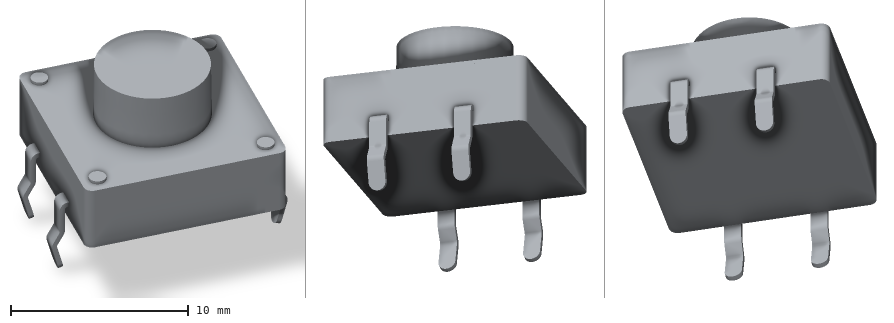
import cadquery as cq
import math

housing_side = 12.0
housing_height = 3.75
corner_radius = 0.5

cover_thickness = 0.2
rivet_diameter = 1.0
rivet_height = 0.2
rivet_offset = 5.0
button_base_diameter = 6.7
button_top_diameter = 6.59
button_top_z = 7.3

leg_width = 1.0
leg_thickness = 0.3
leg_offset = 2.5
leg_top_z = 1.19
leg_tip_z = -3.49
leg_reach = 1.01
stub_length = 0.05
upright_length = 1.45
inner_bend_radius = 0.2
shoulder_angle = 90
splay_angle = 30
tail_angle = 15

cover_top_z = housing_height + cover_thickness
half_thickness = leg_thickness / 2
tip_radius = leg_width / 2
bend_radius = inner_bend_radius + half_thickness
outer_bend_radius = inner_bend_radius + leg_thickness


def make_plate(bottom_z, thickness):
    plate = cq.Workplane("XY").workplane(offset=bottom_z).rect(housing_side, housing_side).extrude(thickness)
    return plate.edges("|Z").fillet(corner_radius)


def make_rivets():
    return (
        cq.Workplane("XY")
        .workplane(offset=cover_top_z)
        .rect(2 * rivet_offset, 2 * rivet_offset, forConstruction=True)
        .vertices()
        .circle(rivet_diameter / 2)
        .extrude(rivet_height)
    )


def make_button():
    button = cq.Solid.makeCone(
        button_base_diameter / 2,
        button_top_diameter / 2,
        button_top_z - cover_top_z,
        pnt=cq.Vector(0, 0, cover_top_z),
    )
    return cq.Workplane("XY").add(button)


def make_cover():
    plate = make_plate(housing_height, cover_thickness)
    return plate.union(make_rivets()).union(make_button())


def rotated(vector, degrees):
    """A vector in the leg's bending plane, turned anticlockwise."""
    angle = math.radians(degrees)
    return cq.Vector(
        vector.x * math.cos(angle) - vector.y * math.sin(angle),
        vector.x * math.sin(angle) + vector.y * math.cos(angle),
    )


def leg_run_lengths():
    """Lengths of the splayed run and the tail that give the leg its reach and its tip height."""
    splay = math.radians(splay_angle)
    tail = math.radians(tail_angle)

    shoulder_reach = stub_length + outer_bend_radius
    bend_reach = (inner_bend_radius + outer_bend_radius) * (1 - math.cos(splay))
    splay_length = (leg_reach - shoulder_reach - bend_reach) / math.sin(splay)

    middle_drop = leg_top_z - half_thickness - leg_tip_z
    tip_drop = tip_radius * math.cos(tail) + half_thickness * math.sin(tail)
    shoulder_drop = bend_radius + upright_length
    splay_drop = bend_radius * math.sin(splay) + splay_length * math.cos(splay)
    knee_drop = bend_radius * (math.sin(splay) + math.sin(tail))
    tail_drop = middle_drop - tip_drop - shoulder_drop - splay_drop - knee_drop
    return splay_length, tail_drop / math.cos(tail)


def make_leg():
    """One leg on the back (+Y) face, centered on X = 0 and swept along its middle line."""
    splay_length, tail_length = leg_run_lengths()
    steps = [
        (stub_length, -shoulder_angle),
        (upright_length, splay_angle),
        (splay_length, -splay_angle - tail_angle),
        (tail_length, 0),
    ]

    start = cq.Vector(housing_side / 2, leg_top_z - half_thickness)
    point = start
    heading = cq.Vector(1, 0)
    path = cq.Workplane("YZ").moveTo(start.x, start.y)
    for length, turn in steps:
        point = point + heading * length
        path = path.lineTo(point.x, point.y)
        if turn:
            side = math.copysign(1, turn)
            to_center = cq.Vector(-heading.y, heading.x) * (side * bend_radius)
            center = point + to_center
            middle = center - rotated(to_center, turn / 2)
            point = center - rotated(to_center, turn)
            path = path.threePointArc((middle.x, middle.y), (point.x, point.y))
            heading = rotated(heading, turn)

    strip = (
        cq.Workplane("XZ", origin=(0, start.x, start.y))
        .rect(leg_width, leg_thickness)
        .sweep(path)
    )
    across = cq.Vector(0, -heading.y, heading.x)
    tip_center = cq.Vector(0, point.x, point.y)
    tip = cq.Solid.makeCylinder(tip_radius, leg_thickness, tip_center - across * half_thickness, across)
    return strip.union(cq.Workplane("XY").add(tip))


housing = make_plate(0, housing_height)
cover = make_cover()

legs = []
for turn_about_z in (0, 180):
    for x in (-leg_offset, leg_offset):
        leg = make_leg().translate((x, 0, 0)).rotate((0, 0, 0), (0, 0, 1), turn_about_z)
        legs.append(leg.val())

result = cq.Compound.makeCompound([housing.val(), cover.val(), *legs])